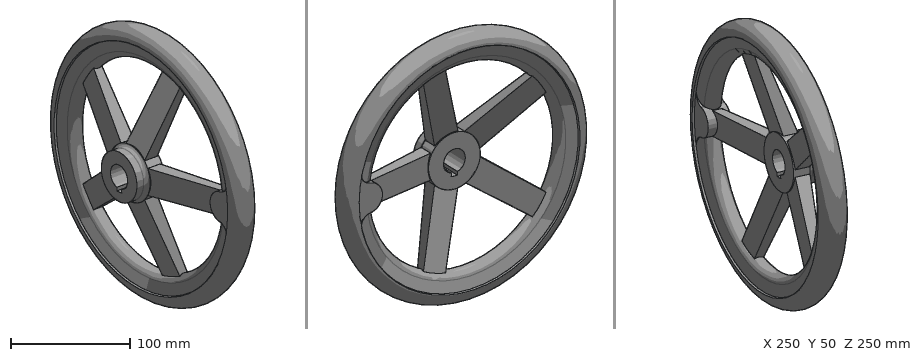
import cadquery as cq
import math


wheel_radius = 125.0
rim_half_width = 13.0
rim_crown_radius = wheel_radius - rim_half_width
rim_step = 2.0
dish_outer_radius = 111.5
dish_inner_radius = 101.0
dish_half_width = 8.0
rim_bore_radius = 94.7

hub_front = -37.0
hub_back = -9.5
hub_radius = 26.2
hub_shoulder = -25.2
nose_radius = 23.0
nose_fillet = 4.5
bore_radius = 11.0
key_width = 5.7
key_depth = 14.0

spoke_count = 5
spoke_start = 17.5
spoke_root = nose_radius
spoke_tip = 98.7
spoke_root_width = 25.0
spoke_tip_width = 23.5
spoke_root_front = hub_shoulder
spoke_root_back = -11.2
spoke_slope = 0.28
spoke_back_slope = 0.21

boss_radius = 14.0
boss_center = dish_inner_radius
boss_flare_radius = 10.0
boss_flare_x = 98.2
boss_front = rim_step - rim_half_width


def make_rim():
    """Turn a rounded grip with a dished inner face on either side."""
    step_half_width = rim_half_width - rim_step
    return (
        cq.Workplane("XY")
        .moveTo(rim_crown_radius, -rim_half_width)
        .threePointArc((wheel_radius, 0), (rim_crown_radius, rim_half_width))
        .lineTo(dish_outer_radius, step_half_width)
        .lineTo(dish_inner_radius, dish_half_width)
        .threePointArc((rim_bore_radius, 0), (dish_inner_radius, -dish_half_width))
        .lineTo(dish_outer_radius, -step_half_width)
        .close()
        .revolve(360, (0, 0), (0, 1))
    )


def make_hub():
    """Turn the hub with a concave fillet between its shoulder and nose."""
    center_radius = nose_radius + nose_fillet
    overhang = center_radius - hub_radius
    fillet_end = hub_shoulder - math.sqrt(nose_fillet**2 - overhang**2)
    diagonal = nose_fillet * math.sqrt(0.5)
    return (
        cq.Workplane("XY")
        .moveTo(0, hub_back)
        .lineTo(hub_radius, hub_back)
        .lineTo(hub_radius, hub_shoulder)
        .threePointArc(
            (center_radius - diagonal, fillet_end + diagonal),
            (nose_radius, fillet_end),
        )
        .lineTo(nose_radius, hub_front)
        .lineTo(0, hub_front)
        .close()
        .revolve(360, (0, 0), (0, 1))
    )


def make_spoke():
    """Make the +X spoke: a sloping side profile trimmed to a tapered width."""
    rise_length = spoke_tip - spoke_root
    side = (
        cq.Workplane("XY")
        .polyline([
            (spoke_start, spoke_root_front),
            (spoke_root, spoke_root_front),
            (spoke_tip, spoke_root_front + spoke_slope * rise_length),
            (spoke_tip, spoke_root_back + spoke_back_slope * rise_length),
            (spoke_root, spoke_root_back),
            (spoke_start, spoke_root_back),
        ])
        .close()
        .extrude(spoke_root_width / 2, both=True)
    )
    outline = (
        cq.Workplane("XZ")
        .polyline([
            (spoke_start, -spoke_root_width / 2),
            (spoke_root, -spoke_root_width / 2),
            (spoke_tip, -spoke_tip_width / 2),
            (spoke_tip, spoke_tip_width / 2),
            (spoke_root, spoke_root_width / 2),
            (spoke_start, spoke_root_width / 2),
        ])
        .close()
        .extrude(wheel_radius, both=True)
    )
    return side.intersect(outline)


def make_handle_boss():
    """Make a round boss that flares into the rim, within the rim crown radius."""
    flare_offset = boss_flare_x - boss_center
    center_distance = boss_radius + boss_flare_radius
    flare_z = math.sqrt(center_distance**2 - flare_offset**2)
    tangent_ratio = boss_radius / center_distance
    tangent_x = boss_center + flare_offset * tangent_ratio
    tangent_z = flare_z * tangent_ratio
    flare_end_x = boss_flare_x + boss_flare_radius
    mid_x = boss_flare_x + boss_flare_radius * math.sqrt(0.5)
    mid_z = flare_z - boss_flare_radius * math.sqrt(0.5)
    depth = -2 * boss_front
    boss = (
        cq.Workplane("XZ", origin=(0, -boss_front, 0))
        .moveTo(tangent_x, tangent_z)
        .threePointArc((boss_center - boss_radius, 0), (tangent_x, -tangent_z))
        .threePointArc((mid_x, -mid_z), (flare_end_x, -flare_z))
        .lineTo(rim_crown_radius, -flare_z)
        .lineTo(rim_crown_radius, flare_z)
        .lineTo(flare_end_x, flare_z)
        .threePointArc((mid_x, mid_z), (tangent_x, tangent_z))
        .close()
        .extrude(depth)
    )
    limit = cq.Workplane("XZ", origin=(0, -boss_front, 0)).circle(rim_crown_radius).extrude(depth)
    return boss.intersect(limit)


def make_bore():
    """Make the through bore and its keyway on the -Z side."""
    through = cq.Workplane("XZ").circle(bore_radius).extrude(wheel_radius, both=True)
    keyway = (
        cq.Workplane("XZ")
        .center(0, -key_depth / 2)
        .rect(key_width, key_depth)
        .extrude(wheel_radius, both=True)
    )
    return through.union(keyway)


wheel = make_rim().union(make_hub())
for index in range(spoke_count):
    spoke_angle = index * 360 / spoke_count
    wheel = wheel.union(make_spoke().rotate((0, 0, 0), (0, 1, 0), spoke_angle))

result = wheel.union(make_handle_boss()).cut(make_bore())